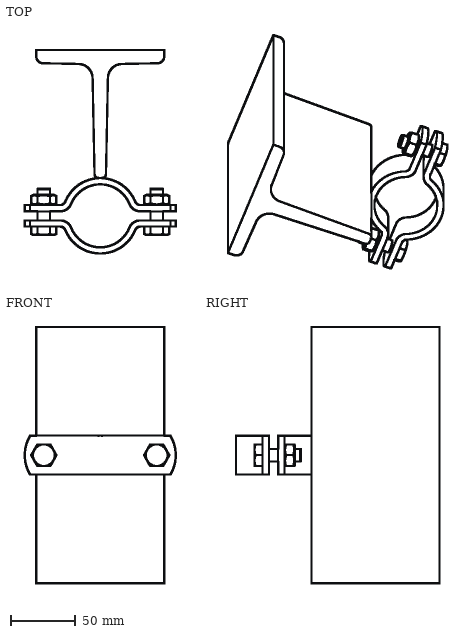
import cadquery as cq
import math

tee_length = 200.0
tee_width = 100.0
tee_depth = 100.0
tee_thickness = 11.0
taper = 0.02
root_radius = tee_thickness
flange_toe_radius = tee_thickness / 2
web_toe_radius = 3.0

pipe_diameter = 49.0
strap_thickness = 5.0
strap_width = 30.5
clamp_gap = 7.0
bend_radius = 4.0
ear_reach = 59.0
ear_end_radius = 29.5

bolt_offset = 44.0
bolt_diameter = 10.0
bolt_length = 30.0
bolt_tip_diameter = 9.2
bolt_tip_length = 1.0
hex_flats = 17.0
head_height = 6.5
nut_height = 8.0
hex_chamfer_angle = 30.0
head_face_diameter = hex_flats
nut_face_diameter = 15.5

seam_width = 2.8
seam_depth = 0.8

pipe_radius = pipe_diameter / 2
outer_radius = pipe_radius + strap_thickness
ear_inner = clamp_gap / 2
ear_outer = ear_inner + strap_thickness


def make_tee():
    toe_y = outer_radius
    back_y = toe_y + tee_depth
    half_width = tee_width / 2

    def underside_y(x):
        return back_y - tee_thickness - taper * (half_width / 2 - x)

    def web_x(y):
        return tee_thickness / 2 + taper * (y - toe_y - tee_depth / 2)

    root_x = web_x(underside_y(0)) / (1 - taper ** 2)
    root = (root_x, underside_y(root_x))
    flange_toe = (half_width, underside_y(half_width))
    web_toe = (web_x(toe_y), toe_y)
    right_side = [(half_width, back_y), flange_toe, root, web_toe]
    left_side = [(-x, y) for x, y in reversed(right_side)]
    tee = (
        cq.Workplane("XY")
        .polyline(right_side + left_side)
        .close()
        .extrude(tee_length / 2, both=True)
    )

    corner_radii = ((root, root_radius), (flange_toe, flange_toe_radius), (web_toe, web_toe_radius))
    for (x, y), radius in corner_radii:
        for side in (-1, 1):
            corner = cq.selectors.NearestToPointSelector((side * x, y, 0))
            tee = tee.edges("|Z").edges(corner).fillet(radius)
    return tee


def make_rear_strap():
    bend_y = ear_outer + bend_radius
    bend_reach = outer_radius + bend_radius
    ring_angle = math.asin(bend_y / bend_reach)
    bend_x = bend_reach * math.cos(ring_angle)
    mid_angle = (ring_angle + math.pi / 2) / 2

    def on_ring(radius):
        return radius * math.cos(ring_angle), radius * math.sin(ring_angle)

    def on_bend(radius):
        return bend_x - radius * math.cos(mid_angle), bend_y - radius * math.sin(mid_angle)

    def mirrored(point):
        return -point[0], point[1]

    inner_bend = bend_radius + strap_thickness
    outer_end = on_ring(outer_radius)
    inner_end = on_ring(pipe_radius)
    outline = (
        cq.Workplane("XY")
        .moveTo(ear_reach, ear_outer)
        .lineTo(bend_x, ear_outer)
        .threePointArc(on_bend(bend_radius), outer_end)
        .threePointArc((0, outer_radius), mirrored(outer_end))
        .threePointArc(mirrored(on_bend(bend_radius)), (-bend_x, ear_outer))
        .lineTo(-ear_reach, ear_outer)
        .lineTo(-ear_reach, ear_inner)
        .lineTo(-bend_x, ear_inner)
        .threePointArc(mirrored(on_bend(inner_bend)), mirrored(inner_end))
        .threePointArc((0, pipe_radius), inner_end)
        .threePointArc(on_bend(inner_bend), (bend_x, ear_inner))
        .lineTo(ear_reach, ear_inner)
        .close()
    )
    strap = outline.extrude(strap_width / 2, both=True)
    return strap.intersect(make_ear_outline())


def make_ear_outline():
    half_height = strap_width / 2
    end_rise = ear_end_radius - math.sqrt(ear_end_radius ** 2 - half_height ** 2)
    corner_x = ear_reach - end_rise
    return (
        cq.Workplane("XZ")
        .moveTo(-corner_x, half_height)
        .lineTo(corner_x, half_height)
        .threePointArc((ear_reach, 0), (corner_x, -half_height))
        .lineTo(-corner_x, -half_height)
        .threePointArc((-ear_reach, 0), (-corner_x, half_height))
        .close()
        .extrude(outer_radius, both=True)
    )


def make_hex(height, face_diameter, chamfer_both_ends):
    corner_radius = hex_flats / math.sqrt(3)
    face_radius = face_diameter / 2
    cone_drop = (corner_radius - face_radius) * math.tan(math.radians(hex_chamfer_angle))
    if chamfer_both_ends:
        lower_points = [(face_radius, 0), (corner_radius, cone_drop)]
    else:
        lower_points = [(corner_radius, 0)]
    upper_points = [(corner_radius, height - cone_drop), (face_radius, height)]
    turned = (
        cq.Workplane("XZ")
        .polyline([(0, 0)] + lower_points + upper_points + [(0, height)])
        .close()
        .revolve(360, (0, 0, 0), (0, 1, 0))
    )
    return cq.Workplane("XY").polygon(6, 2 * corner_radius).extrude(height).intersect(turned)


def make_bolt_with_nut():
    tip_chamfer = (bolt_diameter - bolt_tip_diameter) / 2
    shank = (
        cq.Workplane("XY")
        .circle(bolt_diameter / 2)
        .extrude(bolt_length)
        .faces(">Z")
        .chamfer(bolt_tip_length, tip_chamfer)
    )
    head = make_hex(head_height, head_face_diameter, False).rotate((0, 0, 0), (1, 0, 0), 180)
    nut = make_hex(nut_height, nut_face_diameter, True).translate((0, 0, 2 * ear_outer))
    bolt = shank.union(head).union(nut)
    return bolt.rotate((0, 0, 0), (1, 0, 0), -90).translate((0, -ear_outer, 0))


def make_seam():
    return (
        cq.Workplane("XY")
        .box(seam_width, seam_depth, strap_width)
        .translate((0, outer_radius, 0))
    )


rear_strap = make_rear_strap()
front_strap = rear_strap.mirror("XZ")
bolt_with_nut = make_bolt_with_nut()

result = make_tee().union(make_seam()).union(rear_strap).union(front_strap)
for side in (-1, 1):
    result = result.union(bolt_with_nut.translate((side * bolt_offset, 0, 0)))